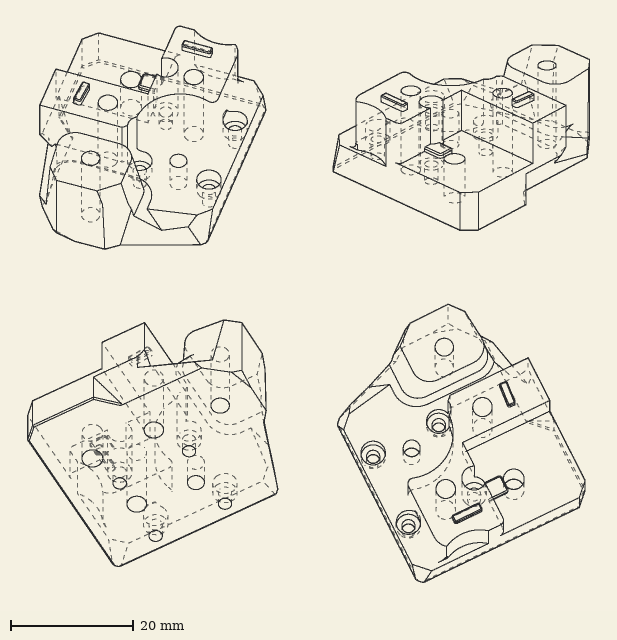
import cadquery as cq
import math

WIDTH = 31.5
DEPTH = 37.1
TOTAL_HEIGHT = 16.1
BLOCK_TOP = 14.9
TOWER_TOP = 14.75
LEDGE_TOP = 7.35
BASE_TOP = 5.82
SKIRT = 1.05
BOTTOM_CHAMFER = 0.25

SCREW_X = (16.9, 28.9)
SCREW_Y = (15.1, 28.1)
SCREW_DIAMETER = 2.2
COUNTERBORE_DIAMETER = 4.0
COUNTERBORE_FLOOR = 3.23

SEAT_HOLE = (10.4, 29.55, 3.4)
OTHER_HOLES = (
    (10.4, 18.03, 3.2),
    (21.9, 27.7, 3.2),
    (22.9, 17.17, 2.8),
    (11.5, 6.2, 3.0),
)

BLOCK_FRONT = 13.9
BLOCK_RIGHT = 27.15
POCKET_RIGHT = 15.95
POCKET_FRONT = 21.92
SEAT_WALL = 15.65
RELIEF_CENTER = (23.45, 16.45)
RELIEF_RADIUS = 7.6
BACK_RELIEF_X = 22.9
BACK_RELIEF_RADIUS = 6.68
BACK_RELIEF_Y = 35.65
LARGE_CORNER = 3.0
SMALL_CORNER = 0.9
RELIEF_CORNER = 1.0
FOOT_FILLET = 1.0
FOOT_END = 36.3
FRONT_CORNER_CHAMFER = 1.55

BACK_LEFT_CHAMFER = 2.15
UNDERCUT_TOP = 6.05
UNDERCUT_ANGLE = 30
UNDERCUT_BACK = 23.5

TOWER_BACK = 10.65
TOWER_RIGHT_TOP = 17.9
TOWER_RIGHT_DRAFT = 15

REAR_PIN = ((20.62, 33.05), 5.0, 1.35, 0)
FRONT_PIN = ((5.82, 18.03), 4.0, 1.35, 85.5)
PIN_CORNER = 0.3
PIN_CHAMFER = 0.2

PAD_LEFT = 12.0
PAD_FRONT = 28.08
PAD_BACK = 31.15
PAD_HEIGHT = 0.78
PAD_CORNER = 0.55
PAD_CHAMFER = 0.25

BACK_ALLOWANCE = 7.4
FAR = 148.35
NEAR = 0.05


def half_space(point, normal):
    """Everything on the side of the plane that the normal points to."""
    plane = cq.Plane(origin=point, normal=normal)
    return cq.Workplane(plane).rect(FAR, FAR).extrude(FAR)


def beyond(a, b, c):
    """Half space beyond the plane through three points, counter-clockwise seen from outside."""
    va, vb, vc = cq.Vector(*a), cq.Vector(*b), cq.Vector(*c)
    return half_space(a, (vb - va).cross(vc - va).toTuple())


def box(x0, x1, y0, y1, z0, z1):
    return cq.Workplane("XY").box(x1 - x0, y1 - y0, z1 - z0, centered=False).translate((x0, y0, z0))


def cylinder(x, y, diameter, z0, z1):
    return cq.Workplane("XY").workplane(offset=z0).center(x, y).circle(diameter / 2).extrude(z1 - z0)


def edge_picker(x0, x1, y0, y1, z):
    """Selector for edges at height z whose centers lie in the given X and Y ranges."""
    return cq.selectors.BoxSelector((x0, y0, z - NEAR), (x1, y1, z + NEAR))


NOSE_LEFT = (7.7, 0)
NOSE_RIGHT = (16.05, 0.1)
BEVEL_START = (15.7, 0.1, 11.5)

front_face = beyond((*NOSE_LEFT, 0), (*NOSE_RIGHT, 0), (*NOSE_LEFT, TOWER_TOP))
front_left_face = beyond((2.7, 6.1, 0), (*NOSE_LEFT, 0), (*NOSE_LEFT, TOWER_TOP))
front_right_face = beyond((18.25, 1.78, 0), (30.5, 6.1, 0), (24.07, 4.2, 3.55))
tower_edge_face = beyond((*NOSE_RIGHT, 0), (18.3, 1.85, 0), BEVEL_START)
tower_top_bevel = beyond(BEVEL_START, (19.05, 2.75, 10.35), (14.72, 0.1, TOWER_TOP))
bottom_front_bevel = beyond((*NOSE_LEFT, 1.05), (6.65, 1.3, 0), (11.0, 0, 0))

right_front_corner = beyond((30.6, 6.12, 0), (WIDTH, 7.0, 0), (WIDTH, 9.45, BASE_TOP))
right_back_corner = beyond((WIDTH, 36.15, 0), (30.55, DEPTH, 0), (29.08, DEPTH, BASE_TOP))

left_bevel = beyond((2.75, BLOCK_FRONT, BASE_TOP), (2.7, 5.95, 1.45), (4.38, 10, BASE_TOP))
right_bevel = beyond((21.35, 5.97, BASE_TOP), (24.2, 4.35, 3.52), (29.67, 7.5, BASE_TOP))

tower_left_face = beyond((5.35, 7.4, TOWER_TOP), (4.65, 3.67, 2.82), (5.82, 2.35, TOWER_TOP))
block_corner_bevel = beyond((0, BLOCK_FRONT, 7.15), (0, 15.15, UNDERCUT_TOP), (2.05, BLOCK_FRONT, 4.85))


def tower_right(z):
    """X of the drafted right face of the tower at height z."""
    return TOWER_RIGHT_TOP + (TOWER_TOP - z) * math.tan(math.radians(TOWER_RIGHT_DRAFT))


def tower_on_plate():
    """Tower with rounded back corners, joined to the plate by a chamfered skirt."""
    tower = (
        cq.Workplane("XZ")
        .polyline([(0, 0), (tower_right(0), 0), (TOWER_RIGHT_TOP, TOWER_TOP), (0, TOWER_TOP)])
        .close()
        .extrude(-TOWER_BACK)
        .cut(tower_left_face)
    )
    tower = tower.faces(">Y").edges("not |X").fillet(LARGE_CORNER)
    joined = box(0, WIDTH, 0, DEPTH, 0, BASE_TOP).union(tower)
    around_foot = edge_picker(NEAR, WIDTH - NEAR, NEAR, TOWER_BACK + NEAR, BASE_TOP)
    return joined.edges(around_foot).chamfer(SKIRT)


def bevel_base(body):
    """Bevel the plate left and right of the tower, leaving the tower and its skirt untouched."""
    skirt_end = tower_right(BASE_TOP) + SKIRT
    skirt_slope = math.tan(math.radians(90 - TOWER_RIGHT_DRAFT) / 2)
    drop = (WIDTH - skirt_end) * skirt_slope
    right_of_skirt = (
        cq.Workplane("XZ")
        .polyline([(skirt_end, BASE_TOP), (WIDTH, BASE_TOP - drop), (WIDTH, BASE_TOP)])
        .close()
        .extrude(-TOWER_BACK)
    )
    body = body.cut(right_bevel.intersect(right_of_skirt))
    return body.cut(left_bevel.intersect(tower_left_face))


def trim_front(body):
    """Cut the faces around the front; the tower may stand out past the front right face."""
    tower_trim = tower_edge_face.union(tower_top_bevel).intersect(front_right_face)
    for cutter in (front_face, front_left_face, tower_trim, bottom_front_bevel):
        body = body.cut(cutter)
    return body


def rear_block():
    """Rear part of the block on its share of the plate, filleted along the foot of the right wall."""
    center_x, front = RELIEF_CENTER
    block = box(0, BLOCK_RIGHT, front, DEPTH, 0, BLOCK_TOP)
    block = block.cut(cylinder(center_x, front, 2 * RELIEF_RADIUS, 0, BLOCK_TOP))
    block = block.edges("|Z and >X and >Y").fillet(LARGE_CORNER)
    block = block.edges("|Z and >X").edges("<Y").fillet(RELIEF_CORNER)
    block = block.union(box(0, WIDTH, front, DEPTH + BACK_ALLOWANCE, 0, BASE_TOP))
    right_wall_foot = edge_picker(BLOCK_RIGHT - NEAR, BLOCK_RIGHT + NEAR, front, DEPTH, BASE_TOP)
    block = block.edges(right_wall_foot).fillet(FOOT_FILLET)
    fillet_end = box(
        BLOCK_RIGHT - LARGE_CORNER / 2, WIDTH, FOOT_END, DEPTH, BASE_TOP, BASE_TOP + FOOT_FILLET
    )
    return block.cut(fillet_end).cut(half_space((0, DEPTH, 0), (0, 1, 0)))


def front_block():
    """Front part of the block, with a chamfered right corner and a bevel under the left one."""
    right = RELIEF_CENTER[0] - RELIEF_RADIUS
    block = box(0, right, BLOCK_FRONT, RELIEF_CENTER[1], 0, BLOCK_TOP)
    block = block.edges("|Z and >X and <Y").chamfer(FRONT_CORNER_CHAMFER)
    return block.cut(block_corner_bevel)


def cut_back_relief(body):
    center_y = BACK_RELIEF_Y + BACK_RELIEF_RADIUS
    return body.cut(cylinder(BACK_RELIEF_X, center_y, 2 * BACK_RELIEF_RADIUS, BASE_TOP, BLOCK_TOP))


def cut_seat_pocket(body):
    rear = box(0, SEAT_WALL, SCREW_Y[1], DEPTH, LEDGE_TOP, BLOCK_TOP)
    front = box(0, POCKET_RIGHT, POCKET_FRONT, SCREW_Y[1], LEDGE_TOP, BLOCK_TOP)
    body = body.cut(rear).cut(front)
    mid_height = (LEDGE_TOP + BLOCK_TOP) / 2
    back_corner = edge_picker(SEAT_WALL - NEAR, SEAT_WALL + NEAR, DEPTH - NEAR, DEPTH + NEAR, mid_height)
    return body.edges(back_corner).fillet(SMALL_CORNER)


def undercut():
    """Overhang below the left side, bounded at the back by a vertical face at 45 degrees."""
    angle = math.radians(UNDERCUT_ANGLE)
    below = half_space((0, 0, UNDERCUT_TOP), (-math.cos(angle), 0, -math.sin(angle)))
    return below.intersect(half_space((0, UNDERCUT_BACK, 0), (-1, -1, 0)))


def trim_sides(body):
    back_left_corner = half_space((BACK_LEFT_CHAMFER, DEPTH, 0), (-1, 1, 0))
    for cutter in (undercut(), back_left_corner, right_front_corner, right_back_corner):
        body = body.cut(cutter)
    return body


def break_bottom_edges(body):
    """Chamfer the bottom edges on the left, back and right; the faceted front keeps sharp ones."""
    reach = UNDERCUT_TOP * math.tan(math.radians(UNDERCUT_ANGLE))
    left_back = edge_picker(-NEAR, reach, UNDERCUT_BACK - reach, DEPTH, 0)
    back = edge_picker(BACK_LEFT_CHAMFER, WIDTH, DEPTH - NEAR, DEPTH + NEAR, 0)
    right = edge_picker(WIDTH - NEAR, WIDTH + NEAR, 0, DEPTH, 0)
    return body.edges(left_back + back + right).chamfer(BOTTOM_CHAMFER)


def cut_holes(body):
    for x, y, diameter in OTHER_HOLES:
        body = body.cut(cylinder(x, y, diameter, 0, TOTAL_HEIGHT))
    seat_x, seat_y, seat_diameter = SEAT_HOLE
    body = body.cut(cylinder(seat_x, seat_y, seat_diameter, 0, LEDGE_TOP))
    for x in SCREW_X:
        top = BLOCK_TOP if x < BLOCK_RIGHT else BASE_TOP + FOOT_FILLET
        for y in SCREW_Y:
            body = body.cut(cylinder(x, y, SCREW_DIAMETER, 0, BLOCK_TOP))
            body = body.cut(cylinder(x, y, COUNTERBORE_DIAMETER, COUNTERBORE_FLOOR, top))
    return body


def locating_pin(center, length, width, turn):
    pin = box(-length / 2, length / 2, -width / 2, width / 2, BLOCK_TOP, TOTAL_HEIGHT)
    pin = pin.edges("|Z").fillet(PIN_CORNER).faces(">Z").chamfer(PIN_CHAMFER)
    return pin.rotate((0, 0, 0), (0, 0, 1), turn).translate((*center, 0))


def seat_pad():
    """Low pad that runs from the seat hole into the pocket wall, clear of the screw head."""
    pad = box(PAD_LEFT, SEAT_WALL + PAD_CORNER, PAD_FRONT, PAD_BACK, LEDGE_TOP, LEDGE_TOP + PAD_HEIGHT)
    pad = pad.edges("|Z and <X").fillet(PAD_CORNER)
    pad = pad.faces(">Z").edges("not >X").chamfer(PAD_CHAMFER)
    return pad.cut(cylinder(SCREW_X[0], SCREW_Y[1], COUNTERBORE_DIAMETER, LEDGE_TOP, BLOCK_TOP))


base = trim_front(bevel_base(tower_on_plate()))
body = base.union(front_block()).union(rear_block())
body = trim_sides(cut_seat_pocket(cut_back_relief(body)))
body = cut_holes(break_bottom_edges(body))
result = body.union(locating_pin(*REAR_PIN)).union(locating_pin(*FRONT_PIN)).union(seat_pad())